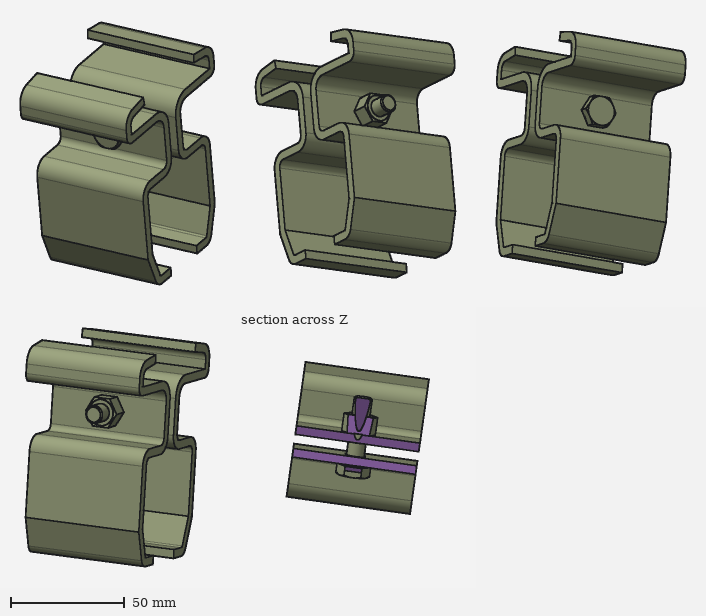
import cadquery as cq
import math

turn_angle = 8.0
lean_angle = 8.0

bracket_length = 55.0
sheet = 4.0
plate_p = 3.0
hook_wall_p = 36.8
lower_wall_p = 28.2
upper_shelf_q = 20.3
lower_shelf_q = -8.7
lip_corner_q = 31.1
lip_reach = 15.5
lip_angle = 8.0
kink_q = -45.1
slant_angle = 20.0
foot_q = -61.6
foot_tip_p = 10.9

upper_bend = 5.5
lower_bend = 3.0
lip_bend = 3.5
heel_bend = 1.0

bolt_q = 3.4
bolt_hole = 9.0
bolt_diameter = 8.0
bolt_length = 29.9
tip_diameter = 6.7
tip_chamfer = (bolt_diameter - tip_diameter) / 2
across_flats = 12.9
head_height = 5.3
nut_height = 8.1
washer_face_diameter = 11.6
head_face_height = 0.6
nut_face_height = 0.2
head_chamfer_angle = 30.0

plate_outer_p = plate_p + sheet


def bracket_profile():
    """Corner points of the sheet's two faces, ordered from the lip to the foot."""
    slope = math.tan(math.radians(lip_angle))
    slant = math.tan(math.radians(slant_angle))
    tip_p = hook_wall_p - lip_reach
    tip_q = lip_corner_q + lip_reach * slope
    inner_tip_p = tip_p - sheet * math.sin(math.radians(lip_angle))
    inner_tip_q = tip_q - sheet * math.cos(math.radians(lip_angle))
    hook_inner_p = hook_wall_p - sheet
    lip_inner_q = inner_tip_q - (hook_inner_p - inner_tip_p) * slope
    kink_inner_q = kink_q + sheet * math.tan(math.radians(slant_angle / 2))
    heel_p = lower_wall_p - (kink_q - foot_q) * slant
    lower_inner_p = lower_wall_p - sheet
    heel_inner_p = lower_inner_p - (kink_inner_q - foot_q - sheet) * slant
    outer = [
        (tip_p, tip_q),
        (hook_wall_p, lip_corner_q),
        (hook_wall_p, upper_shelf_q - sheet),
        (plate_outer_p, upper_shelf_q - sheet),
        (plate_outer_p, lower_shelf_q),
        (lower_wall_p, lower_shelf_q),
        (lower_wall_p, kink_q),
        (heel_p, foot_q),
        (foot_tip_p, foot_q),
    ]
    inner = [
        (inner_tip_p, inner_tip_q),
        (hook_inner_p, lip_inner_q),
        (hook_inner_p, upper_shelf_q),
        (plate_p, upper_shelf_q),
        (plate_p, lower_shelf_q - sheet),
        (lower_inner_p, lower_shelf_q - sheet),
        (lower_inner_p, kink_inner_q),
        (heel_inner_p, foot_q + sheet),
        (foot_tip_p, foot_q + sheet),
    ]
    return outer, inner


def axis_plane(p):
    """Plane across the bolt axis at p, facing outward."""
    return cq.Plane(origin=(0, -p, bolt_q), xDir=(1, 0, 0), normal=(0, -1, 0))


def cylinder(p, diameter, height):
    """Cylinder on the bolt axis, from p outward."""
    return cq.Workplane(axis_plane(p)).circle(diameter / 2).extrude(height)


def hexagon(p, height):
    """Hexagonal prism on the bolt axis, from p outward."""
    corner_diameter = across_flats / math.cos(math.pi / 6)
    return cq.Workplane(axis_plane(p)).polygon(6, corner_diameter).extrude(height)


def make_bracket():
    """Bracket on the positive p side, lengthwise along X and centred on X = 0."""
    outer, inner = bracket_profile()
    section_plane = cq.Plane(origin=(0, 0, 0), xDir=(0, -1, 0), normal=(-1, 0, 0))
    body = (
        cq.Workplane(section_plane)
        .polyline(outer + inner[::-1])
        .close()
        .extrude(bracket_length / 2, both=True)
    )
    bends = [
        (outer[1], lip_bend + sheet),
        (inner[1], lip_bend),
        (outer[2], sheet),
        (outer[3], upper_bend),
        (inner[3], upper_bend + sheet),
        (outer[4], lower_bend),
        (inner[4], lower_bend + sheet),
        (outer[5], lower_bend + sheet),
        (inner[5], lower_bend),
        (outer[7], heel_bend + sheet),
        (inner[7], heel_bend),
    ]
    for (p, q), radius in bends:
        corner = cq.selectors.NearestToPointSelector((0, -p, q))
        body = body.edges("|X").edges(corner).fillet(radius)
    return body.cut(cylinder(plate_p, bolt_hole, sheet))


def make_bolt():
    """Bolt with its head on the positive p side."""
    end_p = plate_outer_p + head_height
    hex_p = plate_outer_p + head_face_height
    hex_height = head_height - head_face_height
    end_radius = across_flats / 2
    base_radius = end_radius + hex_height / math.tan(math.radians(head_chamfer_angle))
    corner_cone = cq.Solid.makeCone(
        end_radius, base_radius, hex_height, cq.Vector(0, -end_p, bolt_q), cq.Vector(0, 1, 0)
    )
    head = hexagon(hex_p, hex_height).intersect(cq.Workplane(corner_cone))
    washer_face = cylinder(plate_outer_p, washer_face_diameter, head_face_height)
    shank = cylinder(plate_outer_p - bolt_length, bolt_diameter, bolt_length)
    shank = shank.faces(">Y").chamfer(tip_chamfer)
    return head.union(washer_face).union(shank)


def make_nut():
    """Nut against the clamping plate on the negative p side, its washer face outward."""
    end_p = -plate_outer_p - nut_height
    body = hexagon(end_p + nut_face_height, nut_height - nut_face_height)
    washer_face = cylinder(end_p, washer_face_diameter, nut_face_height)
    return body.union(washer_face).cut(cylinder(end_p, bolt_diameter, nut_height))


def place(body):
    """Lean a body about the brackets' length, then turn it about Z."""
    leaned = body.rotate((0, 0, 0), (1, 0, 0), lean_angle)
    return leaned.rotate((0, 0, 0), (0, 0, 1), -turn_angle)


bracket = make_bracket()
brackets = [place(bracket), place(bracket.mirror("XZ"))]
bolt = place(make_bolt())
nut = place(make_nut())

result = cq.Compound.makeCompound([*[b.val() for b in brackets], bolt.val(), nut.val()])